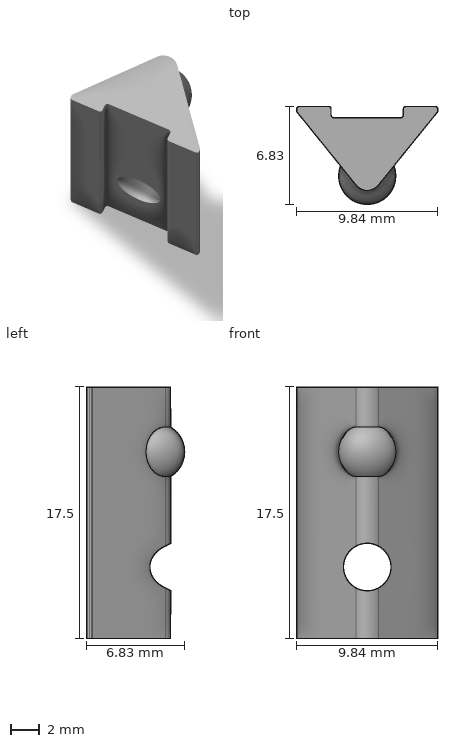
import cadquery as cq
import math

length = 17.5
width = 9.84
ridge_depth = 5.85
ridge_radius = 1.0
flank_angle = 51.0
corner_radius = 0.2

groove_width = 5.0
groove_depth = 0.79

ball_radius = 2.0
ball_depth = 4.83
ball_height = 13.0

hole_diameter = 3.29
hole_height = 4.99


def wedge_bar():
    """Extrude the wedge profile with its rounded ridge and narrow side lands."""
    angle = math.radians(flank_angle)
    half_width = width / 2
    tangent_x = ridge_radius * math.sin(angle)
    tangent_y = -ridge_depth + ridge_radius * (1 - math.cos(angle))
    land_y = tangent_y + (half_width - tangent_x) * math.tan(angle)
    return (
        cq.Workplane("XY")
        .moveTo(-half_width, 0)
        .lineTo(-half_width, land_y)
        .lineTo(-tangent_x, tangent_y)
        .threePointArc((0, -ridge_depth), (tangent_x, tangent_y))
        .lineTo(half_width, land_y)
        .lineTo(half_width, 0)
        .close()
        .extrude(length)
    )


def back_groove():
    """Full-length block that cuts the back groove, rounded along the groove floor."""
    block = cq.Workplane("XY").rect(groove_width, 2 * groove_depth).extrude(length)
    return block.edges("|Z and <Y").fillet(corner_radius)


def through_hole():
    """Cylinder along Y, longer than the bar is deep."""
    return (
        cq.Workplane("XZ")
        .center(0, hole_height)
        .circle(hole_diameter / 2)
        .extrude(ridge_depth, both=True)
    )


bar = wedge_bar().cut(back_groove())
bar = bar.edges("|Z and >Y").fillet(corner_radius)
ball = cq.Workplane("XY").sphere(ball_radius).translate((0, -ball_depth, ball_height))
result = bar.cut(through_hole()).union(ball)